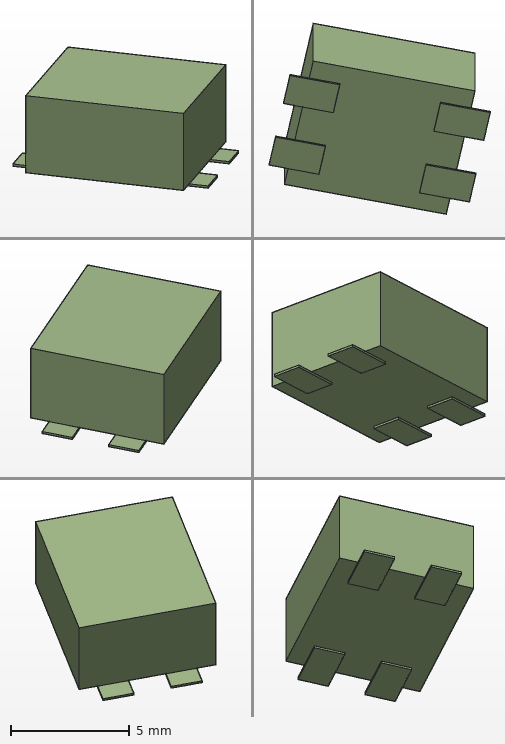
import cadquery as cq

overall_length = 8.66
overall_height = 3.6

lead_thickness = 0.1
lead_length = 2.16
lead_width = 1.36
lead_pitch = 3.0

housing_length = 7.0
housing_width = 6.0
housing_height = overall_height - lead_thickness


def make_housing():
    """Block with its underside on the top faces of the leads."""
    return (
        cq.Workplane("XY")
        .workplane(offset=lead_thickness)
        .rect(housing_length, housing_width)
        .extrude(housing_height)
    )


def make_lead(x_side, y_side):
    """Flat lead; each side is -1 or +1 and picks the corner it sits at."""
    center_x = x_side * (overall_length - lead_length) / 2
    center_y = y_side * lead_pitch / 2
    return (
        cq.Workplane("XY")
        .center(center_x, center_y)
        .rect(lead_length, lead_width)
        .extrude(lead_thickness)
    )


housing = make_housing()
leads = [make_lead(x_side, y_side) for x_side in (-1, 1) for y_side in (-1, 1)]

result = cq.Compound.makeCompound([housing.val(), *[lead.val() for lead in leads]])